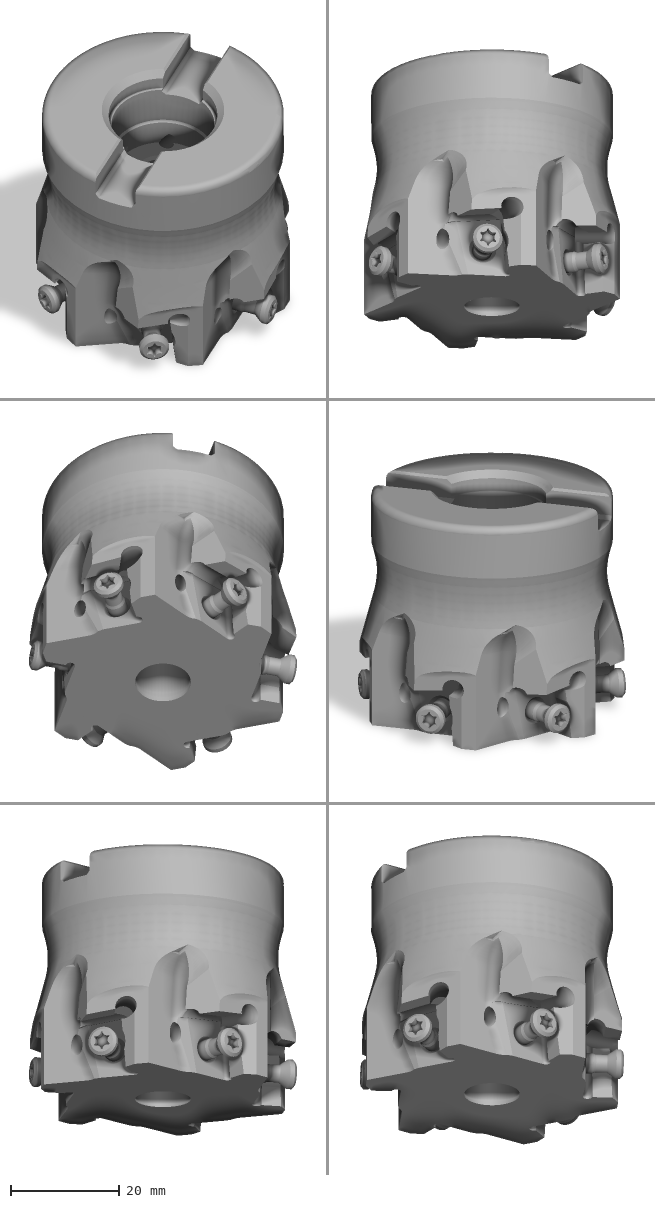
import cadquery as cq
import math


TOOTH_COUNT = 6
TOOTH_PITCH = 360 / TOOTH_COUNT
HEIGHT = 42.85
BEYOND = 9.6
CUT_MARGIN = 0.5
OUTSIDE = 28.85

COLLAR_RADIUS = 22.3
COLLAR_FILLET = 1.45
COLLAR_BOTTOM = 33.0
COLLAR_LIP = 0.5
LIP_STEP = 0.15
FLARE_SLOPE = math.tan(math.radians(15))
WAIST_RADIUS = 21.25
WAIST_TOP = 31.0
WAIST_BOTTOM = 22.95
FLARE_BOTTOM = 10.6

PILOT_RADIUS = 10.05
PILOT_CHAMFER = 1.25
PILOT_DEPTH = 3.6
SPIGOT_RADIUS = 9.5
SPIGOT_DEPTH = 11.05
SEAT_BORE_RADIUS = 9.15
SEAT_BORE_DEPTH = 16.35
THROUGH_RADIUS = 5.15
THROUGH_CHAMFER = 0.55

SLOT_WIDTH = 8.05
SLOT_DEPTH = 4.75
SLOT_BOTTOM_CHAMFER = 0.7
SLOT_TOP_CHAMFER = 0.45

LAND_OFFSET = 23.5
LAND_TOP = 13.8
LAND_RADIUS = 1.9
AXIAL_RAKE = 6.0

GULLET_FLOOR = 15.85
GULLET_WALL = -10.1
GULLET_TILT = -4.5
GULLET_TILT_HEIGHT = 14.45
GULLET_FLOOR_TOP = 17.8
GULLET_ROOF_RADIUS = 5.75
GULLET_ROOF_START = GULLET_FLOOR + GULLET_ROOF_RADIUS * (1 - math.cos(math.pi / 4))
GULLET_ROOT_RADIUS = 1.9
GULLET_WALL_TOP = 18.1
FLANK_START = 17.3
FLANK_EDGE = -11.05
FLANK_ARCH_START = 14.9
FLANK_ARCH_MIDDLE = (-11.25, 19.95)
FLANK_ARCH_END = (-12.4, 22.03)
FLANK_ARCH_FOOT = -13.95
FLANK_SPREAD = 0.65
GROOVE_SLANT = 18.6
GROOVE_FOOT = -6.92
GROOVE_TOP = 8.18
GROOVE_RADIUS = 2.9

SEAT_OFFSET = 16.85
POCKET_REAR = -0.1
POCKET_HEIGHT = 11.05
CORNER_RELIEF_RADIUS = 1.9
CORNER_RELIEF = (0.35, 11.3)
CORNER_RELIEF_ANGLE = 22.0
ROOF_RELIEF_RADIUS = 1.85
ROOF_RELIEF_HEIGHT = 10.45
REAR_RELIEF_RADIUS = 0.85
REAR_BEVEL_START = (21.5, -1.45)
REAR_BEVEL_SLOPE = 1.7
REAR_BEVEL_TOP = 10.1
SEAT_EDGE_FOOT = -6.92
SEAT_EDGE_SLANT = 12.5
SEAT_EDGE_SLOPE = 0.25
SEAT_EDGE_WIDTH = 2.9

COOLANT_RADIUS = 1.2
COOLANT_INLET = cq.Vector(2.95, -8.25, HEIGHT - SEAT_BORE_DEPTH)
COOLANT_OUTLET = cq.Vector(GULLET_FLOOR, -11.5, 7.2)
COOLANT_OVERRUN = 1.9

WIDTH_OVER_SCREWS = 47.85
SCREW_Y = -4.25
SCREW_Z = 5.0
SCREW_TIP = 12.0
SHANK_RADIUS = 1.88
SHANK_END = 18.27
NECK_RADIUS = 1.65
NECK_START = 18.85
NECK_END = 20.95
HEAD_RADIUS = 2.75
HEAD_START = 22.55
HEAD_END = WIDTH_OVER_SCREWS / 2
HEAD_FACE_RADIUS = 2.15
HEAD_ROUNDING = 0.5
SOCKET_DEPTH = 1.45
SOCKET_TIP_RADIUS = 1.7
SOCKET_SIDE_RADIUS = 1.45
SOCKET_VALLEY_RADIUS = 1.15
SOCKET_TIP_ANGLE = 7.0
COUNTERSINK_RADIUS = 2.55
HEAD_CLEARANCE_RADIUS = 4.05
HEAD_CLEARANCE_START = 18.5


def around_axis(shape, index):
    return shape.rotate((0, 0, 0), (0, 0, 1), index * TOOTH_PITCH)


def lean(shape, angle, y, z):
    """Tilt a shape about an outward axis through (y, z)."""
    return shape.rotate((0, y, z), (1, y, z), angle)


def outward_cylinder(radius, start, end, y, z):
    return cq.Workplane("YZ", origin=(start, y, z)).circle(radius).extrude(end - start)


def turned_blank():
    lip_radius = COLLAR_RADIUS - LIP_STEP
    lip_height = COLLAR_BOTTOM - COLLAR_LIP
    waist_end_radius = lip_radius - (lip_height - WAIST_TOP) * FLARE_SLOPE
    flare_radius = waist_end_radius + (WAIST_BOTTOM - FLARE_BOTTOM) * FLARE_SLOPE
    blank = (
        cq.Workplane("XZ")
        .lineTo(flare_radius, 0)
        .lineTo(flare_radius, FLARE_BOTTOM)
        .lineTo(waist_end_radius, WAIST_BOTTOM)
        .threePointArc((WAIST_RADIUS, (WAIST_TOP + WAIST_BOTTOM) / 2), (waist_end_radius, WAIST_TOP))
        .lineTo(lip_radius, lip_height)
        .lineTo(COLLAR_RADIUS, COLLAR_BOTTOM)
        .lineTo(COLLAR_RADIUS, HEIGHT)
        .lineTo(0, HEIGHT)
        .close()
        .revolve(360, (0, 0), (0, 1))
    )
    return blank.faces(">Z").edges().fillet(COLLAR_FILLET)


def bore():
    step = SPIGOT_RADIUS - SEAT_BORE_RADIUS
    floor = HEIGHT - SEAT_BORE_DEPTH
    return (
        cq.Workplane("XZ")
        .moveTo(0, -BEYOND)
        .lineTo(THROUGH_RADIUS, -BEYOND)
        .lineTo(THROUGH_RADIUS, floor - THROUGH_CHAMFER)
        .lineTo(THROUGH_RADIUS + THROUGH_CHAMFER, floor)
        .lineTo(SEAT_BORE_RADIUS, floor)
        .lineTo(SEAT_BORE_RADIUS, HEIGHT - SPIGOT_DEPTH - step)
        .lineTo(SPIGOT_RADIUS, HEIGHT - SPIGOT_DEPTH)
        .lineTo(SPIGOT_RADIUS, HEIGHT - PILOT_DEPTH)
        .lineTo(PILOT_RADIUS, HEIGHT - PILOT_DEPTH)
        .lineTo(PILOT_RADIUS, HEIGHT - PILOT_CHAMFER)
        .lineTo(PILOT_RADIUS + PILOT_CHAMFER, HEIGHT)
        .lineTo(0, HEIGHT)
        .close()
        .revolve(360, (0, 0), (0, 1))
    )


def drive_slot():
    half = SLOT_WIDTH / 2
    bottom = HEIGHT - SLOT_DEPTH
    right_side = [
        (half - SLOT_BOTTOM_CHAMFER, bottom),
        (half, bottom + SLOT_BOTTOM_CHAMFER),
        (half, HEIGHT - SLOT_TOP_CHAMFER),
        (half + SLOT_TOP_CHAMFER, HEIGHT),
    ]
    left_side = [(-x, z) for x, z in reversed(right_side)]
    return cq.Workplane("XZ").polyline(right_side + left_side).close().extrude(OUTSIDE, both=True)


def land_relief():
    """Material outside the flat land, ending upward in a concave run-out."""
    arc_x = LAND_OFFSET + LAND_RADIUS
    relief = (
        cq.Workplane("XZ")
        .moveTo(LAND_OFFSET, -BEYOND)
        .lineTo(LAND_OFFSET, LAND_TOP)
        .radiusArc((arc_x, LAND_TOP + LAND_RADIUS), LAND_RADIUS)
        .lineTo(OUTSIDE, LAND_TOP + LAND_RADIUS)
        .lineTo(OUTSIDE, -BEYOND)
        .close()
        .extrude(OUTSIDE / 2, both=True)
    )
    return lean(relief, AXIAL_RAKE, 0, LAND_TOP)


def roof_height(x):
    """Height of the plain gullet roof, which climbs outward at 45 degrees."""
    start_height = GULLET_FLOOR_TOP + GULLET_ROOF_RADIUS * math.sin(math.pi / 4)
    return start_height + x - GULLET_ROOF_START


def gullet_channel():
    """Gullet floor curving outward into a 45 degree roof, rounded along its side wall."""
    channel = (
        cq.Workplane("XZ", origin=(0, GULLET_WALL, 0))
        .moveTo(GULLET_FLOOR, -BEYOND)
        .lineTo(GULLET_FLOOR, GULLET_FLOOR_TOP)
        .radiusArc((GULLET_ROOF_START, roof_height(GULLET_ROOF_START)), GULLET_ROOF_RADIUS)
        .lineTo(OUTSIDE, roof_height(OUTSIDE))
        .lineTo(OUTSIDE, -BEYOND)
        .close()
        .extrude(OUTSIDE)
    )
    root = channel.faces(">Y").edges(cq.selectors.BoxSelector(
        (GULLET_FLOOR - CUT_MARGIN, GULLET_WALL - CUT_MARGIN, -BEYOND + CUT_MARGIN),
        (OUTSIDE - CUT_MARGIN, GULLET_WALL + CUT_MARGIN, 2 * OUTSIDE),
    ))
    beyond_wall = (
        cq.Workplane("YZ", origin=(GULLET_WALL_TOP, 0, 0))
        .rect(4 * OUTSIDE, 4 * OUTSIDE)
        .extrude(OUTSIDE)
    )
    return root.fillet(GULLET_ROOT_RADIUS).cut(beyond_wall)


def gullet_flank():
    """Arched opening that flares outward, upward and toward the tooth."""
    outline = (
        cq.Workplane("YZ", origin=(FLANK_START, 0, 0))
        .moveTo(FLANK_EDGE, -2 * BEYOND)
        .lineTo(FLANK_EDGE, FLANK_ARCH_START)
        .threePointArc(FLANK_ARCH_MIDDLE, FLANK_ARCH_END)
        .lineTo(FLANK_ARCH_FOOT, roof_height(FLANK_START))
        .lineTo(-OUTSIDE, roof_height(FLANK_START))
        .lineTo(-OUTSIDE, -2 * BEYOND)
        .close()
    )
    reach = OUTSIDE - FLANK_START
    sweep = cq.Vector(reach, FLANK_SPREAD * reach, reach)
    return cq.Workplane(cq.Solid.extrudeLinear(outline.val(), [], sweep))


def gullet():
    opening = gullet_channel().union(gullet_flank())
    return lean(opening, GULLET_TILT, GULLET_WALL, GULLET_TILT_HEIGHT)


def slanted_groove():
    """Lower end of the gullet, running parallel to the insert's leading edge."""
    slant = math.tan(math.radians(GROOVE_SLANT))
    groove = (
        cq.Workplane("YZ", origin=(GULLET_FLOOR, 0, 0))
        .moveTo(GROOVE_FOOT + CUT_MARGIN * slant, -CUT_MARGIN)
        .lineTo(GROOVE_FOOT - GROOVE_TOP * slant, GROOVE_TOP)
        .lineTo(-OUTSIDE, GROOVE_TOP)
        .lineTo(-OUTSIDE, -CUT_MARGIN)
        .close()
        .extrude(GROOVE_RADIUS + CUT_MARGIN)
    )
    inner_edge = cq.Vector(GULLET_FLOOR, GROOVE_FOOT - GROOVE_TOP * slant / 2, GROOVE_TOP / 2)
    return groove.edges(cq.selectors.NearestToPointSelector(inner_edge.toTuple())).fillet(GROOVE_RADIUS)


def insert_pocket():
    """Tilted recess with a flat seat, a rear wall, a roof and relieved inner corners."""
    depth = OUTSIDE - SEAT_OFFSET
    width = OUTSIDE / 2
    recess = cq.Workplane("XY").box(depth, width, POCKET_HEIGHT + BEYOND, centered=False)
    recess = recess.translate((SEAT_OFFSET, POCKET_REAR - width, -BEYOND))
    roof_relief = (
        cq.Workplane("XZ", origin=(SEAT_OFFSET + ROOF_RELIEF_RADIUS, POCKET_REAR, ROOF_RELIEF_HEIGHT))
        .circle(ROOF_RELIEF_RADIUS)
        .extrude(width)
    )
    rear_relief = (
        cq.Workplane("XY", origin=(SEAT_OFFSET + REAR_RELIEF_RADIUS, POCKET_REAR, -BEYOND))
        .circle(REAR_RELIEF_RADIUS)
        .extrude(POCKET_HEIGHT + BEYOND)
    )
    pocket = recess.union(roof_relief).union(rear_relief)
    return lean(pocket, AXIAL_RAKE, POCKET_REAR, 0)


def corner_relief():
    y, z = CORNER_RELIEF
    relief = outward_cylinder(CORNER_RELIEF_RADIUS, SEAT_OFFSET, OUTSIDE, y, z)
    return relief.rotate((LAND_OFFSET, y, 0), (LAND_OFFSET, y, 1), CORNER_RELIEF_ANGLE)


def rear_bevel():
    x, y = REAR_BEVEL_START
    return (
        cq.Workplane("XY", origin=(0, 0, -BEYOND))
        .moveTo(x, y)
        .lineTo(OUTSIDE, y + (OUTSIDE - x) * REAR_BEVEL_SLOPE)
        .lineTo(OUTSIDE, y)
        .close()
        .extrude(BEYOND + REAR_BEVEL_TOP)
    )


def seat_edge_bevel():
    bevel = (
        cq.Workplane("XY", origin=(0, SEAT_EDGE_FOOT, -BEYOND))
        .moveTo(SEAT_OFFSET, 0)
        .lineTo(SEAT_OFFSET + CUT_MARGIN, 0)
        .lineTo(SEAT_OFFSET + CUT_MARGIN, -SEAT_EDGE_WIDTH)
        .lineTo(SEAT_OFFSET - SEAT_EDGE_SLOPE * SEAT_EDGE_WIDTH, -SEAT_EDGE_WIDTH)
        .close()
        .extrude(BEYOND + POCKET_HEIGHT - CUT_MARGIN)
    )
    return lean(bevel, SEAT_EDGE_SLANT, SEAT_EDGE_FOOT, 0)


def coolant_channel():
    direction = (COOLANT_OUTLET - COOLANT_INLET).normalized()
    start = COOLANT_INLET - direction * COOLANT_OVERRUN
    length = (COOLANT_OUTLET - COOLANT_INLET).Length + 2 * COOLANT_OVERRUN
    return cq.Workplane(cq.Solid.makeCylinder(COOLANT_RADIUS, length, start, direction))


def screw_hole():
    lead_in = COUNTERSINK_RADIUS - SHANK_RADIUS
    hole = (
        cq.Workplane("XZ")
        .moveTo(SCREW_TIP, 0)
        .lineTo(SCREW_TIP, SHANK_RADIUS)
        .lineTo(SEAT_OFFSET - lead_in, SHANK_RADIUS)
        .lineTo(SEAT_OFFSET, COUNTERSINK_RADIUS)
        .lineTo(SEAT_OFFSET, 0)
        .close()
        .revolve(360, (0, 0), (1, 0))
        .translate((0, SCREW_Y, SCREW_Z))
    )
    head_clearance = outward_cylinder(
        HEAD_CLEARANCE_RADIUS, HEAD_CLEARANCE_START, OUTSIDE, SCREW_Y, SCREW_Z
    )
    return hole.union(head_clearance)


def cutter_body():
    tooth_cuts = [
        land_relief(), gullet(), slanted_groove(), insert_pocket(), corner_relief(),
        rear_bevel(), seat_edge_bevel(), screw_hole(), coolant_channel(),
    ]
    body = turned_blank().cut(bore()).cut(drive_slot())
    for index in range(TOOTH_COUNT):
        for tooth_cut in tooth_cuts:
            body = body.cut(around_axis(tooth_cut, index))
    return body


def socket():
    """Six-lobed drive recess in the screw head, on the X axis."""
    def rim_point(radius, degrees):
        angle = math.radians(degrees)
        return (radius * math.cos(angle), radius * math.sin(angle))

    lobe_count = 6
    lobe_pitch = 360 / lobe_count
    first_lobe = lobe_pitch / 2
    outline = cq.Workplane("YZ", origin=(HEAD_END - SOCKET_DEPTH, 0, 0))
    outline = outline.moveTo(*rim_point(SOCKET_SIDE_RADIUS, first_lobe - SOCKET_TIP_ANGLE))
    for lobe in range(lobe_count):
        tip = first_lobe + lobe * lobe_pitch
        outline = outline.threePointArc(
            rim_point(SOCKET_TIP_RADIUS, tip),
            rim_point(SOCKET_SIDE_RADIUS, tip + SOCKET_TIP_ANGLE),
        ).threePointArc(
            rim_point(SOCKET_VALLEY_RADIUS, tip + lobe_pitch / 2),
            rim_point(SOCKET_SIDE_RADIUS, tip + lobe_pitch - SOCKET_TIP_ANGLE),
        )
    return outline.close().extrude(SOCKET_DEPTH)


def screw():
    turned = (
        cq.Workplane("XZ")
        .moveTo(SCREW_TIP, 0)
        .lineTo(SCREW_TIP, SHANK_RADIUS)
        .lineTo(SHANK_END, SHANK_RADIUS)
        .lineTo(NECK_START, NECK_RADIUS)
        .lineTo(NECK_END, NECK_RADIUS)
        .lineTo(HEAD_START, HEAD_RADIUS)
        .lineTo(HEAD_END - HEAD_ROUNDING, HEAD_RADIUS)
        .lineTo(HEAD_END, HEAD_FACE_RADIUS)
        .lineTo(HEAD_END, 0)
        .close()
        .revolve(360, (0, 0), (1, 0))
    )
    return turned.cut(socket()).translate((0, SCREW_Y, SCREW_Z))


cutter = cutter_body()
screws = [around_axis(screw(), index).val() for index in range(TOOTH_COUNT)]
result = cq.Compound.makeCompound([cutter.solids().val(), *screws])